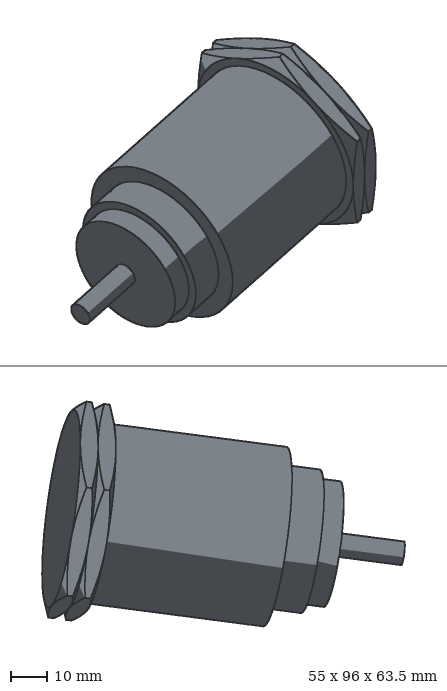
import cadquery as cq
import math

total_length = 96.0
nut_across_flats = 55.0
nut_thickness = 5.0
nut_chamfer_depth = 1.7
nut_count = 2
body_diameter = 50.0
body_length = 50.0
collar_diameter = 40.0
collar_length = 10.0
cap_diameter = 35.0
cap_length = 6.0
cable_diameter = 6.6

nut_across_corners = nut_across_flats / math.cos(math.radians(30))
cable_length = total_length - nut_count * nut_thickness - body_length - collar_length - cap_length


def cylinder(start, length, diameter):
    """Round section on the Y axis, from start towards +Y."""
    plane = cq.Workplane("XZ", origin=(0, start, 0))
    return plane.circle(diameter / 2).extrude(-length)


def hex_nut(start):
    """Hex nut with corners at +Z and -Z, both faces chamfered by a cone."""
    end = start + nut_thickness
    face_radius = nut_across_flats / 2
    corner_radius = nut_across_corners / 2
    prism = (
        cq.Workplane("XZ", origin=(0, start, 0))
        .transformed(rotate=(0, 0, 90))
        .polygon(6, nut_across_corners)
        .extrude(-nut_thickness)
    )
    chamfer_envelope = (
        cq.Workplane("XY")
        .moveTo(0, start)
        .lineTo(face_radius, start)
        .lineTo(corner_radius, start + nut_chamfer_depth)
        .lineTo(corner_radius, end - nut_chamfer_depth)
        .lineTo(face_radius, end)
        .lineTo(0, end)
        .close()
        .revolve(360, (0, 0, 0), (0, 1, 0))
    )
    return prism.intersect(chamfer_envelope)


position = 0
result = cq.Workplane("XZ")
for length, diameter in (
    (cable_length, cable_diameter),
    (cap_length, cap_diameter),
    (collar_length, collar_diameter),
    (body_length, body_diameter),
):
    result = result.add(cylinder(position, length, diameter))
    position += length
result = result.combine()

for index in range(nut_count):
    result = result.union(hex_nut(position + index * nut_thickness))